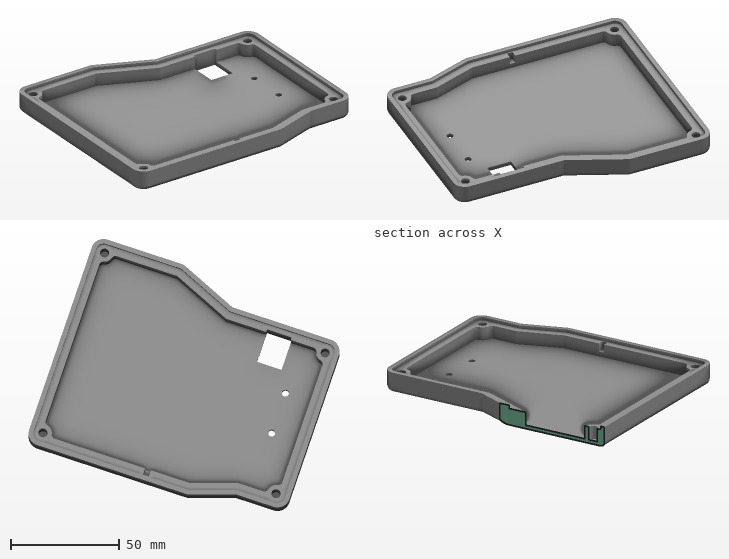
import cadquery as cq

length_x = 102.3
length_y = 124.3
height = 10.0

wall = 5.75
rim = 2.2
ledge_depth = 1.6
floor = 2.0
bottom_fillet = 2.4
ledge_z = height - ledge_depth

left = -length_x / 2 + wall
right = length_x / 2 - wall
front = -length_y / 2 + wall
rear = length_y / 2 - wall
left_step = 11.95
right_step = 7.1
left_slant_y = (-20.5, 7.3)
right_slant_y = (16.15, 37.45)

boss_radius = 4.1
boss_blend = 2.0
screw_hole_diameter = 4.2
boss_centres = [
    (left + 0.35, front + 0.6),
    (right - 0.9, front + 0.65),
    (right - right_step - 0.8, rear - 1.0),
    (left + left_step + 0.75, rear - 0.65),
]

floor_hole_diameter = 3.2
floor_hole_y = 43.95
floor_hole_x = (-10.2, 9.7)
window_size = (14.7, 12.0)
window_centre = (-27.4, 32.75)

notch_width = 2.8
notch_depth = 4.0
notch_length = 3.1
notch_y = -4.3


def cavity_outline(z):
    """Polygon of the cavity sides, without the bosses."""
    return cq.Workplane("XY", origin=(0, 0, z)).polyline([
        (left, front),
        (right, front),
        (right, right_slant_y[0]),
        (right - right_step, right_slant_y[1]),
        (right - right_step, rear),
        (left + left_step, rear),
        (left + left_step, left_slant_y[1]),
        (left, left_slant_y[0]),
    ]).close()


def make_body():
    """Solid block with rounded corners and a rounded bottom edge."""
    body = cavity_outline(0).offset2D(wall, "arc").extrude(height)
    return body.faces("<Z").edges().fillet(bottom_fillet)


def make_ledge_recess():
    """Shallow recess inside the rim."""
    return cavity_outline(ledge_z).offset2D(wall - rim, "arc").extrude(ledge_depth)


def make_cavity():
    """Deep pocket that leaves a blended boss in each corner."""
    depth = ledge_z - floor
    cavity = cavity_outline(floor).extrude(depth)
    bosses = (
        cq.Workplane("XY", origin=(0, 0, floor))
        .pushPoints(boss_centres)
        .circle(boss_radius)
        .extrude(depth)
    )
    cavity = cavity.cut(bosses)
    for x, y in boss_centres:
        reach = 2 * boss_radius
        near_boss = cq.selectors.BoxSelector(
            (x - reach, y - reach, 0), (x + reach, y + reach, height)
        )
        cavity = cavity.edges("|Z").edges(near_boss).fillet(boss_blend)
    return cavity


def make_screw_holes():
    """Blind holes in the bosses, down to the floor."""
    return (
        cq.Workplane("XY", origin=(0, 0, floor))
        .pushPoints(boss_centres)
        .circle(screw_hole_diameter / 2)
        .extrude(height - floor)
    )


def make_floor_holes():
    """Two round holes through the floor."""
    return (
        cq.Workplane("XY")
        .pushPoints([(x, floor_hole_y) for x in floor_hole_x])
        .circle(floor_hole_diameter / 2)
        .extrude(height)
    )


def make_window():
    """Rectangular opening through the floor and part of the left ledge."""
    return cq.Workplane("XY").center(*window_centre).rect(*window_size).extrude(height)


def make_notch():
    """Slot from the cavity into the right ledge."""
    return cq.Workplane("XY").box(
        notch_length, notch_width, notch_depth, centered=(False, True, False)
    ).translate((right, notch_y, ledge_z - notch_depth))


result = (
    make_body()
    .cut(make_ledge_recess())
    .cut(make_cavity())
    .cut(make_screw_holes())
    .cut(make_floor_holes())
    .cut(make_window())
    .cut(make_notch())
)